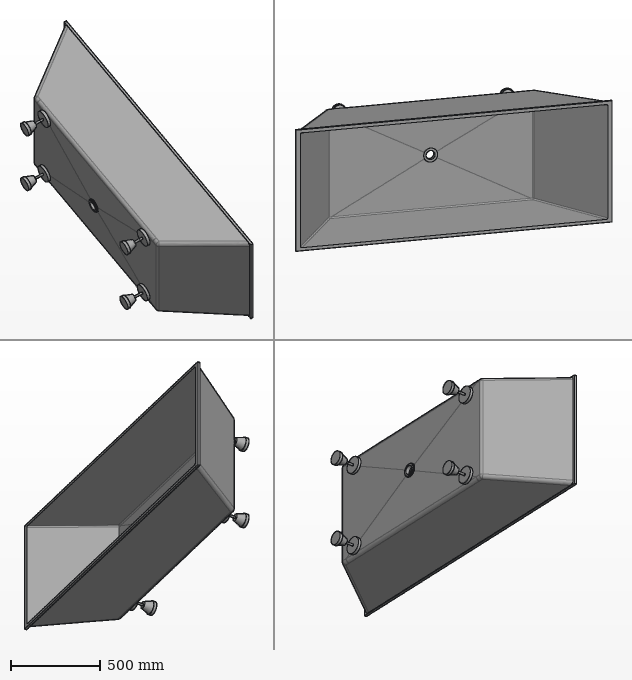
import cadquery as cq


rim_length = 1865.0
rim_width = 710.0
rim_depth = 15.0
end_overhang = 11.0
side_overhang = 4.0
mouth_length = rim_length - 2 * end_overhang
mouth_width = rim_width - 2 * side_overhang
floor_length = 1235.0
floor_width = 655.0
floor_edge_depth = 436.0
floor_fall = 10.0
wall = 15.0
edge_radius = 22.0
floor_depth = floor_edge_depth - wall

drain_diameter = 82.0
drain_bore = 52.0
drain_chamfer = 4.0
pad_depth = 455.0

foot_spacing_x = 992.0
foot_spacing_z = 525.0
pad_diameter = 103.0
rod_diameter = 13.0
cone_depth = 513.0
cone_top_diameter = 43.0
cone_base_diameter = 76.0
sole_depth = 561.0
sole_diameter = 82.0
foot_depth = 580.0


def at_depth(depth):
    """Plane parallel to the mouth whose normal points toward the feet."""
    return cq.Workplane("XZ", origin=(0, -depth, 0))


def cylinder(start_depth, end_depth, diameter):
    return at_depth(start_depth).circle(diameter / 2).extrude(end_depth - start_depth)


def floor_pyramid(length, width, depth):
    """Shallow four-sided fall from the floor edges to the drain."""
    corners = [
        cq.Vector(side_x * length / 2, -depth, side_z * width / 2)
        for side_x, side_z in ((1, 1), (-1, 1), (-1, -1), (1, -1))
    ]
    apex = cq.Vector(0, -depth - floor_fall, 0)
    outlines = [corners]
    outlines += [[corners[i - 1], corners[i], apex] for i in range(4)]
    faces = [cq.Face.makeFromWires(cq.Wire.makePolygon(points, close=True)) for points in outlines]
    return cq.Workplane(cq.Solid.makeSolid(cq.Shell.makeShell(faces)))


def basin(inset, start_depth, end_depth, radius):
    """Tapered basin with a falling floor, set in by `inset` from the outer faces."""
    length = floor_length - 2 * inset
    width = floor_width - 2 * inset
    body = (
        at_depth(start_depth)
        .rect(mouth_length - 2 * inset, mouth_width - 2 * inset)
        .workplane(offset=end_depth - start_depth)
        .rect(length, width)
        .loft(ruled=True)
        .union(floor_pyramid(length, width, end_depth))
    )
    margin = floor_fall / 4
    rounded_edges = cq.selectors.BoxSelector(
        (-rim_length, -start_depth - margin, -rim_width),
        (rim_length, -end_depth - margin, rim_width),
    )
    return body.edges(rounded_edges).fillet(radius)


def tub():
    """Hollow basin with a thin rim, a round drain hole and four feet made in one with it."""
    rim = at_depth(0).rect(rim_length, rim_width).extrude(rim_depth)
    outside = basin(0, rim_depth, floor_edge_depth, edge_radius)
    inside = basin(wall, 0, floor_depth, edge_radius - wall)
    hole = cylinder(0, foot_depth, drain_diameter)
    body = rim.union(outside).cut(inside).cut(hole)
    for side_x in (-1, 1):
        for side_z in (-1, 1):
            place = (side_x * foot_spacing_x / 2, 0, side_z * foot_spacing_z / 2)
            body = body.union(foot().translate(place))
    return body


def foot():
    """Mounting pad, rod, conical body and flat sole, rooted inside the floor wall."""
    pad = cylinder(floor_edge_depth - wall / 2, pad_depth, pad_diameter)
    rod = cylinder(pad_depth, cone_depth, rod_diameter)
    cone = (
        at_depth(cone_depth)
        .circle(cone_top_diameter / 2)
        .workplane(offset=sole_depth - cone_depth)
        .circle(cone_base_diameter / 2)
        .loft(ruled=True)
    )
    sole = cylinder(sole_depth, foot_depth, sole_diameter)
    return pad.union(rod).union(cone).union(sole)


def drain():
    """Sleeve that fills the drain hole and stands out below the floor."""
    sleeve = cylinder(floor_depth + floor_fall, pad_depth, drain_diameter)
    sleeve = sleeve.faces("<Y").edges().chamfer(drain_chamfer)
    return sleeve.cut(cylinder(0, foot_depth, drain_bore))


result = cq.Compound.makeCompound([tub().val(), drain().val()])